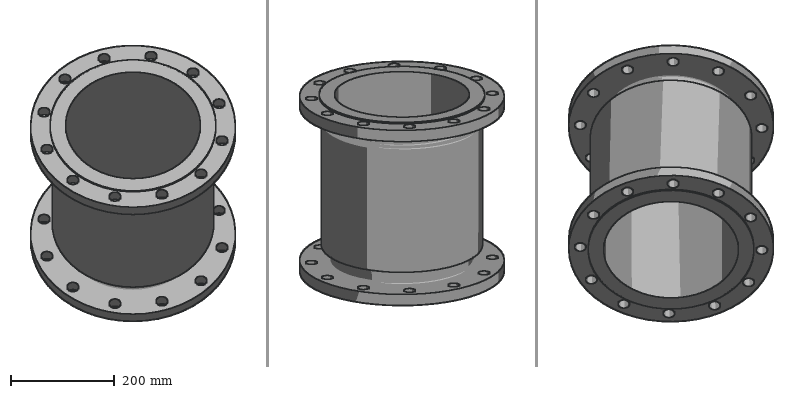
import cadquery as cq

flange_diameter = 395.0
height = 365.0

flange_end_depth = 26.0
raised_face_diameter = 320.0
raised_face_height = 3.0
bolt_circle_diameter = 350.0
bolt_hole_diameter = 22.0
bolt_hole_count = 12

bore_diameter = 260.0
neck_diameter = 273.0
body_diameter = 312.0
body_length = 254.0
fillet_radius = 3.0

end_z = height / 2
flange_back_z = end_z - flange_end_depth
flange_front_z = end_z - raised_face_height
body_end_z = body_length / 2


def cylinder(diameter, bottom_z, top_z):
    """Upright cylinder on the part axis."""
    return cq.Workplane("XY", origin=(0, 0, bottom_z)).circle(diameter / 2).extrude(top_z - bottom_z)


def make_tube_and_body():
    """Thick body with rounded rims, carried on a narrower neck tube."""
    body = cylinder(body_diameter, -body_end_z, body_end_z).edges("%CIRCLE").fillet(fillet_radius)
    return body.union(cylinder(neck_diameter, -end_z, end_z))


def make_top_flange():
    """Flange disc with a raised gasket face on its outer side."""
    disc = cylinder(flange_diameter, flange_back_z, flange_front_z)
    raised_face = cylinder(raised_face_diameter, flange_front_z, end_z)
    return disc.union(raised_face)


def fillet_neck_corners(part):
    """Round the inside corners where the necks meet the body and the flanges."""
    neck_edges = part.faces("%CYLINDER").edges(
        cq.selectors.RadiusNthSelector(0)
    )
    return part.newObject(neck_edges.vals()).fillet(fillet_radius)


def make_bolt_holes():
    """Cutters for the bolt circle, with the holes straddling the X and Y axes."""
    half_pitch = 360 / bolt_hole_count / 2
    return (
        cq.Workplane("XY", origin=(0, 0, -end_z))
        .polarArray(bolt_circle_diameter / 2, half_pitch, 360, bolt_hole_count)
        .circle(bolt_hole_diameter / 2)
        .extrude(height)
    )


top_flange = make_top_flange()
bottom_flange = top_flange.mirror("XY")

solid_part = make_tube_and_body().union(top_flange).union(bottom_flange)
filleted_part = fillet_neck_corners(solid_part)

bore = cylinder(bore_diameter, -end_z, end_z)
result = filleted_part.cut(bore).cut(make_bolt_holes())